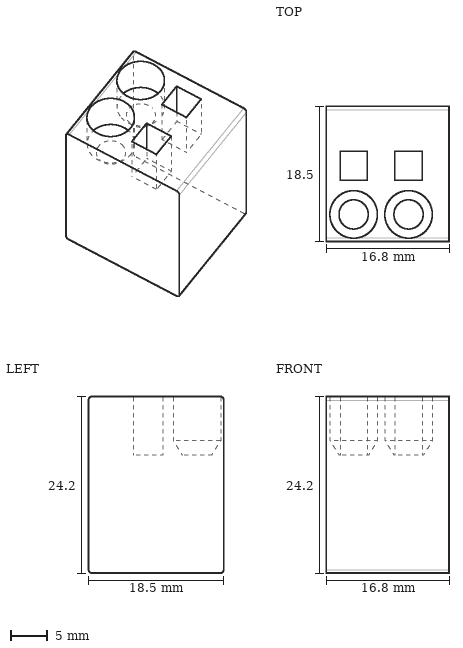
import cadquery as cq

WIDTH = 16.8
DEPTH = 18.5
HEIGHT = 24.15
EDGE_RADIUS = 0.5

POLE_COUNT = 2
POLE_PITCH = 7.5
FIRST_POLE_FROM_LEFT = POLE_PITCH / 2
POCKET_DEPTH = 8.0

ENTRY_DIAMETER = 6.5
ENTRY_FROM_FRONT = 3.7
FLOOR_DIAMETER = 4.0
FUNNEL_DEPTH = 2.0

SLOT_WIDTH = 3.7
SLOT_LENGTH = 4.0
SLOT_FROM_FRONT = 10.35


def housing():
    """Block with its four edges along X rounded."""
    block = cq.Workplane("XY").box(WIDTH, DEPTH, HEIGHT, centered=(True, True, False))
    return block.edges("|X").fillet(EDGE_RADIUS)


def wire_entry(x):
    """Round pocket with a funnel-shaped bottom, revolved about a vertical axis at x."""
    entry_radius = ENTRY_DIAMETER / 2
    floor_radius = FLOOR_DIAMETER / 2
    floor = -POCKET_DEPTH
    funnel_top = floor + FUNNEL_DEPTH
    profile = (
        cq.Workplane("XZ")
        .moveTo(0, 0)
        .lineTo(entry_radius, 0)
        .lineTo(entry_radius, funnel_top)
        .lineTo(floor_radius, floor)
        .lineTo(0, floor)
        .close()
    )
    pocket = profile.revolve(360, (0, 0, 0), (0, 1, 0))
    return pocket.translate((x, ENTRY_FROM_FRONT - DEPTH / 2, HEIGHT))


def release_slot(x):
    """Rectangular pocket sunk from the top face at x."""
    pocket = cq.Workplane("XY").box(SLOT_WIDTH, SLOT_LENGTH, POCKET_DEPTH)
    return pocket.translate((x, SLOT_FROM_FRONT - DEPTH / 2, HEIGHT - POCKET_DEPTH / 2))


result = housing()
for pole in range(POLE_COUNT):
    pole_x = FIRST_POLE_FROM_LEFT + pole * POLE_PITCH - WIDTH / 2
    result = result.cut(wire_entry(pole_x)).cut(release_slot(pole_x))